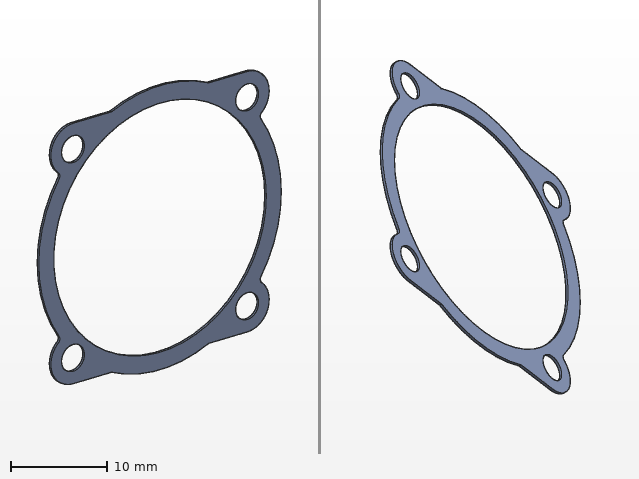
import cadquery as cq

thickness = 0.3
outer_radius = 16.0
bore_radius = 14.0

hole_y = 11.5
hole_z = 11.75
hole_radius = 1.5
lobe_radius = 2.9
notch_fillet = 0.5


def disc(radius):
    return cq.Workplane("YZ").circle(radius).extrude(thickness / 2, both=True)


def lobe_pair(z):
    """Round-ended bar joining the two lobes at height z."""
    bar_length = 2 * (hole_y + lobe_radius)
    return (
        cq.Workplane("YZ")
        .center(0, z)
        .slot2D(bar_length, 2 * lobe_radius)
        .extrude(thickness / 2, both=True)
    )


def is_notch(edge):
    """True for the inside corners where a lobe runs into the side of the ring."""
    center = edge.Center()
    return abs(center.y) > hole_y + hole_radius / 2 and lobe_radius < abs(center.z) < hole_z


body = disc(outer_radius)
for side in (-1, 1):
    body = body.union(lobe_pair(side * hole_z))
body = body.edges("|X").filter(is_notch).fillet(notch_fillet)

bolt_holes = (
    cq.Workplane("YZ")
    .rect(2 * hole_y, 2 * hole_z, forConstruction=True)
    .vertices()
    .circle(hole_radius)
    .extrude(thickness / 2, both=True)
)
result = body.cut(disc(bore_radius)).cut(bolt_holes)